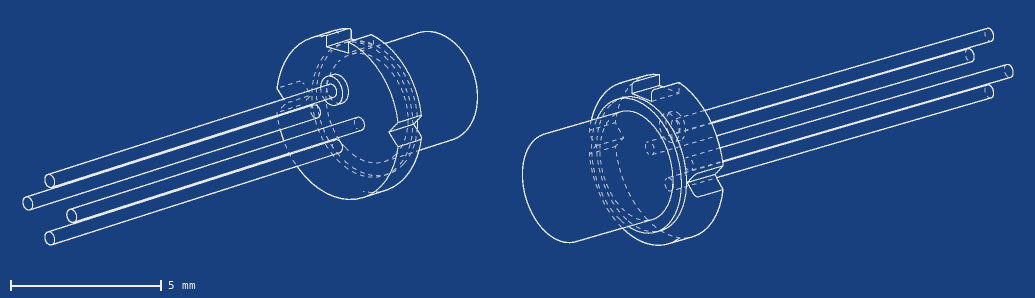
import cadquery as cq

OVERALL_LENGTH = 18.9
PIN_LENGTH = 13.99

STEM_RADIUS = 2.8
STEM_THICKNESS = 1.21
STEM_EDGE_FILLET = 0.13

KEY_WIDTH = 1.0
KEY_FLOOR_HEIGHT = 2.36
V_TIP_DISTANCE = 2.35
V_OVERCUT = 0.19
V_REACH = STEM_RADIUS - V_TIP_DISTANCE + V_OVERCUT

PIN_RADIUS = 0.23
PIN_CIRCLE_RADIUS = 1.0
SLEEVE_RADIUS = 1.0 / 2
SLEEVE_LENGTH = 0.28

CAP_RADIUS = 1.87
CAP_FRONT = OVERALL_LENGTH - PIN_LENGTH
CAP_EDGE_FILLET = 0.15
FLANGE_RADIUS = 2.3
FLANGE_THICKNESS = 0.23


def cylinder(radius, start_y, end_y, x=0, z=0):
    """Cylinder along Y between two Y positions, centred at the given X and Z."""
    base = cq.Workplane(cq.Plane(origin=(x, start_y, z), xDir=(1, 0, 0), normal=(0, 1, 0)))
    return base.circle(radius).extrude(end_y - start_y)


def notch(points):
    """Cutter with the given XZ outline, running through the stem thickness."""
    return cq.Workplane("XZ").polyline(points).close().extrude(-STEM_THICKNESS)


def make_stem():
    """Notched disc, one piece with its four pins and the pin sleeve."""
    stem = cylinder(STEM_RADIUS, 0, STEM_THICKNESS).faces(">Y").edges().fillet(STEM_EDGE_FILLET)

    half_key = KEY_WIDTH / 2
    stem = stem.cut(notch([
        (-half_key, KEY_FLOOR_HEIGHT),
        (half_key, KEY_FLOOR_HEIGHT),
        (half_key, STEM_RADIUS),
        (-half_key, STEM_RADIUS),
    ]))

    for side in (-1, 1):
        tip_x = side * V_TIP_DISTANCE
        mouth_x = side * (V_TIP_DISTANCE + V_REACH)
        stem = stem.cut(notch([(tip_x, 0), (mouth_x, V_REACH), (mouth_x, -V_REACH)]))

    stem = stem.union(cylinder(SLEEVE_RADIUS, -SLEEVE_LENGTH, 0, z=PIN_CIRCLE_RADIUS))
    for x_step, z_step in ((1, 0), (0, 1), (-1, 0), (0, -1)):
        pin_x = x_step * PIN_CIRCLE_RADIUS
        pin_z = z_step * PIN_CIRCLE_RADIUS
        stem = stem.union(cylinder(PIN_RADIUS, -PIN_LENGTH, 0, pin_x, pin_z))
    return stem


def make_cap():
    """Round cap with a flange that sits on the front face of the stem."""
    barrel = cylinder(CAP_RADIUS, STEM_THICKNESS, CAP_FRONT)
    barrel = barrel.faces(">Y").edges().fillet(CAP_EDGE_FILLET)
    flange = cylinder(FLANGE_RADIUS, STEM_THICKNESS, STEM_THICKNESS + FLANGE_THICKNESS)
    return barrel.union(flange)


stem = make_stem()
cap = make_cap()

result = cq.Compound.makeCompound([stem.val(), cap.val()])